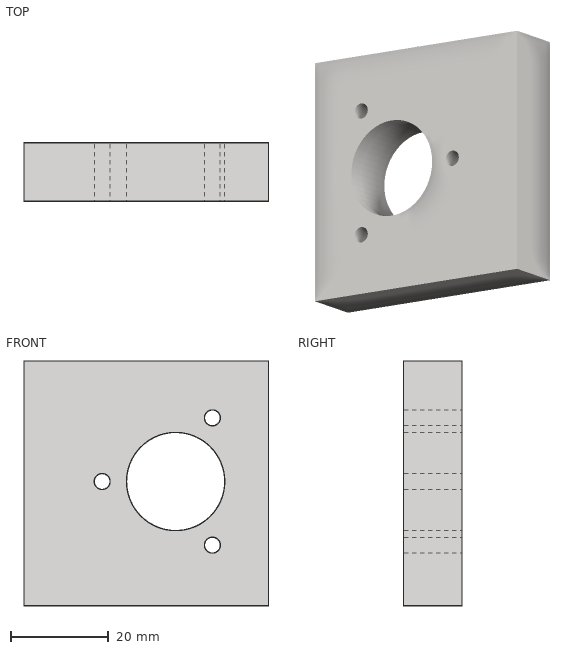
import cadquery as cq

side = 50.0
thickness = 12.0

bore_diameter = 20.0
bore_x = 6.0
bore_z = 0.4

screw_diameter = 3.2
screw_circle_radius = 15.0
screw_count = 3
first_screw_angle = 180.0

plate = cq.Workplane("XZ").rect(side, side).extrude(thickness / 2, both=True)

bore_plane = plate.faces("<Y").workplane(origin=(bore_x, 0, bore_z))
bored_plate = bore_plane.hole(bore_diameter)

screw_plane = bored_plate.faces("<Y").workplane(origin=(bore_x, 0, bore_z))
result = screw_plane.polarArray(
    screw_circle_radius, first_screw_angle, 360, screw_count
).hole(screw_diameter)